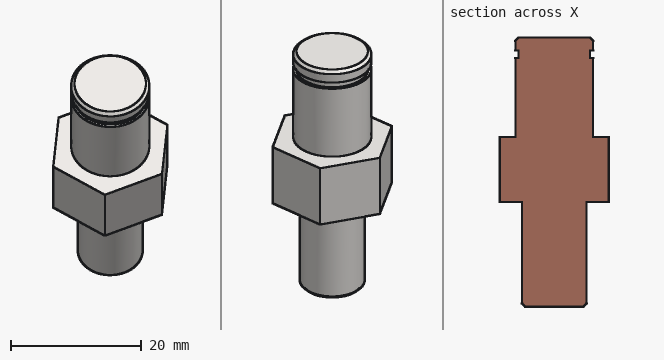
import cadquery as cq

total_length = 41.2
lower_length = 16.0
hex_height = 10.0

lower_diameter = 10.0
upper_diameter = 12.0
hex_across_flats = 16.73
hex_across_corners = 19.3

end_chamfer = 0.55
groove_diameter = 11.05
groove_width = 1.1
groove_top_offset = 2.0

hex_top = lower_length + hex_height
upper_length = total_length - hex_top


def lower_shank():
    shank = cq.Workplane("XY").circle(lower_diameter / 2).extrude(lower_length)
    return shank.faces("<Z").chamfer(end_chamfer)


def hex_collar():
    """Hexagon with corners on X and two flats facing +Y and -Y."""
    half_corners = hex_across_corners / 2
    half_flats = hex_across_flats / 2
    half_side = half_corners / 2
    outline = [
        (half_corners, 0),
        (half_side, half_flats),
        (-half_side, half_flats),
        (-half_corners, 0),
        (-half_side, -half_flats),
        (half_side, -half_flats),
    ]
    return cq.Workplane("XY", origin=(0, 0, lower_length)).polyline(outline).close().extrude(hex_height)


def upper_shank():
    shank = cq.Workplane("XY", origin=(0, 0, hex_top)).circle(upper_diameter / 2).extrude(upper_length)
    return shank.faces(">Z").chamfer(end_chamfer)


def retaining_ring_groove():
    groove_bottom = total_length - groove_top_offset - groove_width
    return (
        cq.Workplane("XY", origin=(0, 0, groove_bottom))
        .circle(upper_diameter / 2)
        .circle(groove_diameter / 2)
        .extrude(groove_width)
    )


result = lower_shank().union(hex_collar()).union(upper_shank()).cut(retaining_ring_groove())